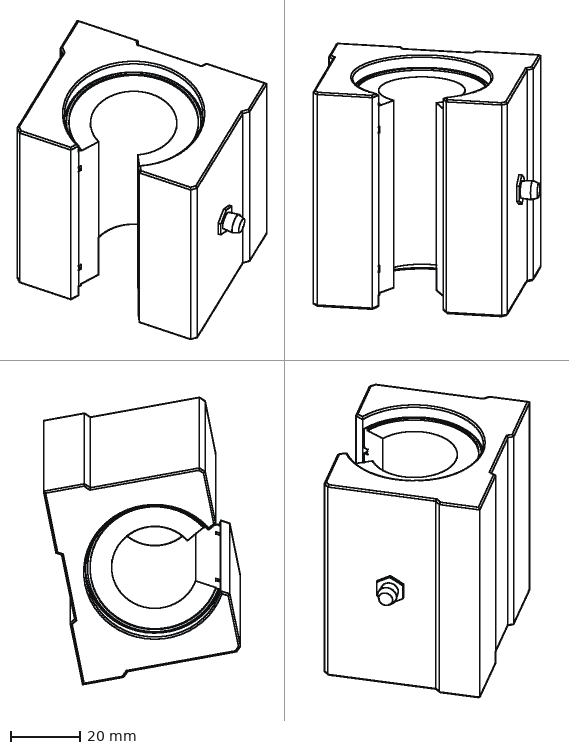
import cadquery as cq
import math


length = 65.0
shoulder_width = 60.05
body_width = 57.1
axis_to_base = 27.0
axis_to_slot_face = 20.0
shoulder_depth = 12.0
step_chamfer = (shoulder_width - body_width) / 2
corner_chamfer = 1.4
edge_chamfer = 0.5

channel_mouth_width = 21.7
channel_depth = 1.5

bore_radius = 20.0
slot_half_angle = math.radians(30)
slot_mouth_width = 21.7

bearing_length = 58.1
bearing_bore_radius = 12.5
bearing_chamfer = 0.6
rim_inner_radius = 18.7
end_recess_depth = 0.6
ring_groove_radius = 18.7
ring_groove_width = 1.8
ring_groove_span = 44.1

hex_across_flats = 7.8
hex_thickness = 0.85
nipple_reach = 34.25
neck_radius = 2.55
head_radius = 2.8
tip_radius = 2.1
head_length = 1.8


def flared_slot(mouth_width, mouth_y):
    """Wedge that widens toward -Y at the slot angle and is mouth_width wide at mouth_y."""
    overshoot = bore_radius
    flare = math.tan(slot_half_angle)
    apex_y = mouth_y + mouth_width / 2 / flare
    outer_y = mouth_y - overshoot
    outer_x = (apex_y - outer_y) * flare
    points = [(0, apex_y), (-outer_x, outer_y), (outer_x, outer_y)]
    return cq.Workplane("XY").polyline(points).close().extrude(length)


def make_housing():
    shoulder_x = shoulder_width / 2
    body_x = body_width / 2
    channel_x = channel_mouth_width / 2
    channel_floor_x = channel_x - channel_depth * math.tan(slot_half_angle)
    channel_floor_y = axis_to_base - channel_depth
    shoulder_y = axis_to_base - shoulder_depth
    right_side = [
        (channel_floor_x, channel_floor_y),
        (channel_x, axis_to_base),
        (shoulder_x, axis_to_base),
        (shoulder_x, shoulder_y),
        (body_x, shoulder_y - step_chamfer),
        (body_x, corner_chamfer - axis_to_slot_face),
        (body_x - corner_chamfer, -axis_to_slot_face),
    ]
    left_side = [(-x, y) for x, y in reversed(right_side)]
    block = cq.Workplane("XY").polyline(right_side + left_side).close().extrude(length)
    bore = cq.Workplane("XY").circle(bore_radius).extrude(length)
    block = block.cut(bore).cut(flared_slot(slot_mouth_width, -axis_to_slot_face))
    return block.faces("<Z or >Z").chamfer(edge_chamfer)


def make_bearing():
    start_z = (length - bearing_length) / 2
    sleeve = (
        cq.Workplane("XY")
        .workplane(offset=start_z)
        .circle(bore_radius)
        .extrude(bearing_length)
        .faces("<Z or >Z")
        .chamfer(bearing_chamfer)
    )
    shaft_hole = cq.Workplane("XY").circle(bearing_bore_radius).extrude(length)
    sleeve = sleeve.cut(shaft_hole)

    for recess_z in (start_z, start_z + bearing_length - end_recess_depth):
        recess = cq.Workplane("XY").workplane(offset=recess_z).circle(rim_inner_radius)
        sleeve = sleeve.cut(recess.extrude(end_recess_depth))

    lower_groove_z = (length - ring_groove_span) / 2
    upper_groove_z = lower_groove_z + ring_groove_span - ring_groove_width
    for groove_z in (lower_groove_z, upper_groove_z):
        groove = (
            cq.Workplane("XY")
            .workplane(offset=groove_z)
            .circle(bore_radius)
            .circle(ring_groove_radius)
            .extrude(ring_groove_width)
        )
        sleeve = sleeve.cut(groove)

    return sleeve.cut(flared_slot(2 * bore_radius * math.tan(slot_half_angle), -bore_radius))


def make_nipple():
    seat_x = body_width / 2
    neck_x = seat_x + hex_thickness
    head_x = nipple_reach - head_length
    hex_across_corners = hex_across_flats / math.cos(math.pi / 6)
    hex_base = (
        cq.Workplane("YZ", origin=(seat_x, 0, length / 2))
        .transformed(rotate=(0, 0, 90))
        .polygon(6, hex_across_corners)
        .extrude(hex_thickness)
    )
    profile = [
        (neck_x, 0),
        (neck_x, neck_radius),
        (head_x, head_radius),
        (nipple_reach, tip_radius),
        (nipple_reach, 0),
    ]
    spout = (
        cq.Workplane("XZ", origin=(0, 0, length / 2))
        .polyline(profile)
        .close()
        .revolve(360, (0, 0), (1, 0))
    )
    return hex_base.union(spout)


housing = make_housing()
bearing = make_bearing()
nipple = make_nipple()

result = cq.Compound.makeCompound([body.solids().val() for body in (housing, bearing, nipple)])